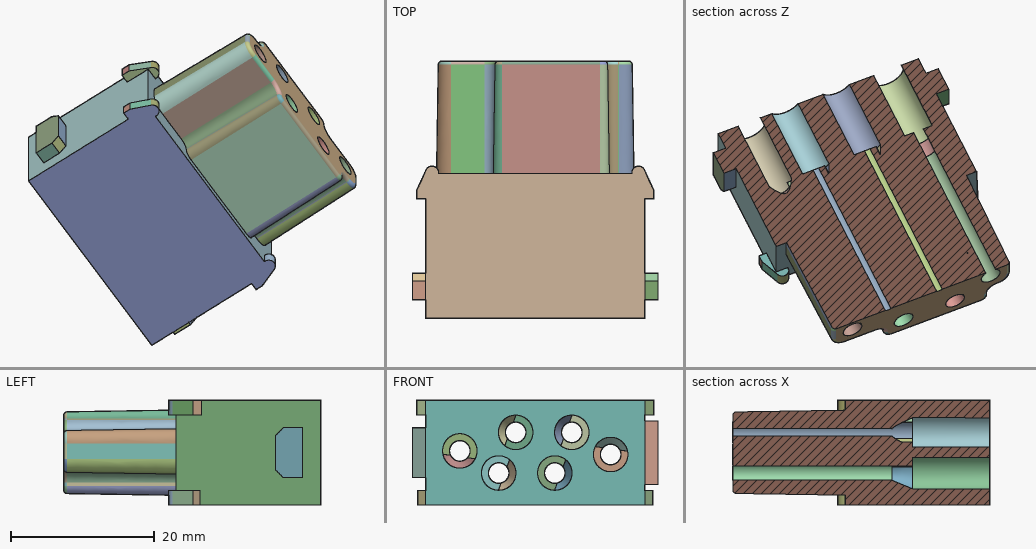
import cadquery as cq

total_length = 35.8
body_width = 30.45
body_length = 20.15
body_height = 14.6
body_mid_z = body_height / 2

plug_half_width = 13.75
plug_half_height = 5.95
plug_corner_radius = 2.08
plug_step_convex_radius = 1.25
plug_step_concave_radius = 1.2
plug_low_step_x = 10.3
plug_high_step_x = 5.85
plug_high_shelf_z = 3.33
plug_low_shelf_z = 2.97
plug_draft = 0.9
plug_tip_radius = 0.55
plug_length = total_length - body_length

bore_diameter = 4.8
bore_depth = 10.75
contact_diameter = 2.83
relief_depth = 2.85
relief_offset = 0.8

half_hole_pattern = [
    (-10.5, 0.25, -98.0),
    (-2.72, 2.83, 160.0),
    (5.1, 2.83, 160.0),
]

hook_thickness = 2.08
hook_slope_start_y = 17.83
hook_slope_end_x = 15.2
hook_slope_end_y = 20.62
hook_crest_x = 14.43
hook_crest_y = 21.2
hook_root_x = 13.45
upper_hook_reach = 16.5
upper_hook_start_y = 16.6
lower_hook_reach = 16.35
lower_hook_start_y = 16.8

key_reach = 34.2 / 2
key_start_y = 2.58
key_end_y = 6.3
key_chamfer = 1.07
left_key_height = 6.95
right_key_height = 8.88


def add_half_plug_outline(wire, side):
    """Continue the outline clockwise over half a turn: side 1 is the upper half, side -1 the lower half.

    The two halves are the same curve turned by 180 degrees. Each arc is a quarter circle;
    a positive radius bulges outward and a negative one inward.
    """

    def line_to(x, z):
        return wire.lineTo(side * x, side * z)

    def quarter_to(x, z, radius):
        return wire.radiusArc((side * x, side * z), radius)

    corner = plug_corner_radius
    convex = plug_step_convex_radius
    concave = plug_step_concave_radius

    wire = line_to(-plug_half_width, plug_high_shelf_z - corner)
    wire = quarter_to(corner - plug_half_width, plug_high_shelf_z, corner)
    wire = line_to(-plug_high_step_x - concave, plug_high_shelf_z)
    wire = quarter_to(-plug_high_step_x, plug_high_shelf_z + concave, -concave)
    wire = line_to(-plug_high_step_x, plug_half_height - convex)
    wire = quarter_to(convex - plug_high_step_x, plug_half_height, convex)
    wire = line_to(plug_low_step_x - convex, plug_half_height)
    wire = quarter_to(plug_low_step_x, plug_half_height - convex, convex)
    wire = line_to(plug_low_step_x, plug_low_shelf_z + concave)
    wire = quarter_to(plug_low_step_x + concave, plug_low_shelf_z, -concave)
    wire = line_to(plug_half_width - corner, plug_low_shelf_z)
    return quarter_to(plug_half_width, plug_low_shelf_z - corner, corner)


def make_plug():
    """The drafted plug, narrowing from the body to its rounded tip."""
    base = cq.Workplane("XZ", origin=(0, body_length, body_mid_z))
    outline = base.moveTo(-plug_half_width, plug_corner_radius - plug_low_shelf_z)
    outline = add_half_plug_outline(outline, 1)
    outline = add_half_plug_outline(outline, -1).close()
    plug = outline.extrude(-plug_length, taper=plug_draft)
    return plug.faces(">Y").edges().fillet(plug_tip_radius)


def make_hooks(reach, start_y, bottom_z):
    """A bar across the body whose two ends are the hooks."""
    right_half = (
        cq.Workplane("XY", origin=(0, 0, bottom_z))
        .moveTo(0, start_y)
        .lineTo(reach, start_y)
        .lineTo(reach, hook_slope_start_y)
        .lineTo(hook_slope_end_x, hook_slope_end_y)
        .threePointArc((hook_crest_x, hook_crest_y), (hook_root_x, body_length))
        .lineTo(0, body_length)
        .close()
        .extrude(hook_thickness)
    )
    return right_half.union(right_half.mirror("YZ"))


def make_key(side, height):
    """A key centred on an end face of the body, so that its inner half lies inside the body."""
    width = 2 * (key_reach - body_width / 2)
    key = cq.Workplane("XY").box(width, key_end_y - key_start_y, height)
    key = key.edges("|X and >Y").chamfer(key_chamfer)
    return key.translate((side * body_width / 2, (key_start_y + key_end_y) / 2, body_mid_z))


def make_contact_hole(x, z, relief_angle):
    """Stepped through hole whose step runs on as a cone on the side given by relief_angle."""
    bore_radius = bore_diameter / 2
    contact_radius = contact_diameter / 2
    bore = cq.Workplane("XZ").circle(bore_radius).extrude(-bore_depth)
    contact = cq.Workplane("XZ").circle(contact_radius).extrude(-total_length)

    cone_start = cq.Vector(0, bore_depth, 0)
    along_hole = cq.Vector(0, 1, 0)
    cone = cq.Solid.makeCone(bore_radius, contact_radius, relief_depth, cone_start, along_hole)
    relief_side = (
        cq.Workplane("XY")
        .box(bore_diameter, relief_depth, bore_diameter, centered=(False, False, True))
        .translate((relief_offset, bore_depth, 0))
        .rotate((0, 0, 0), (0, 1, 0), -relief_angle)
    )
    relief = relief_side.intersect(cq.Workplane(cone))
    return bore.union(contact).union(relief).translate((x, 0, body_mid_z + z))


body = cq.Workplane("XY").box(body_width, body_length, body_height, centered=(True, False, False))
result = body.union(make_plug())
result = result.union(make_hooks(upper_hook_reach, upper_hook_start_y, body_height - hook_thickness))
result = result.union(make_hooks(lower_hook_reach, lower_hook_start_y, 0))
result = result.union(make_key(-1, left_key_height))
result = result.union(make_key(1, right_key_height))
for hole_x, hole_z, hole_relief_angle in half_hole_pattern:
    result = result.cut(make_contact_hole(hole_x, hole_z, hole_relief_angle))
    result = result.cut(make_contact_hole(-hole_x, -hole_z, hole_relief_angle + 180))